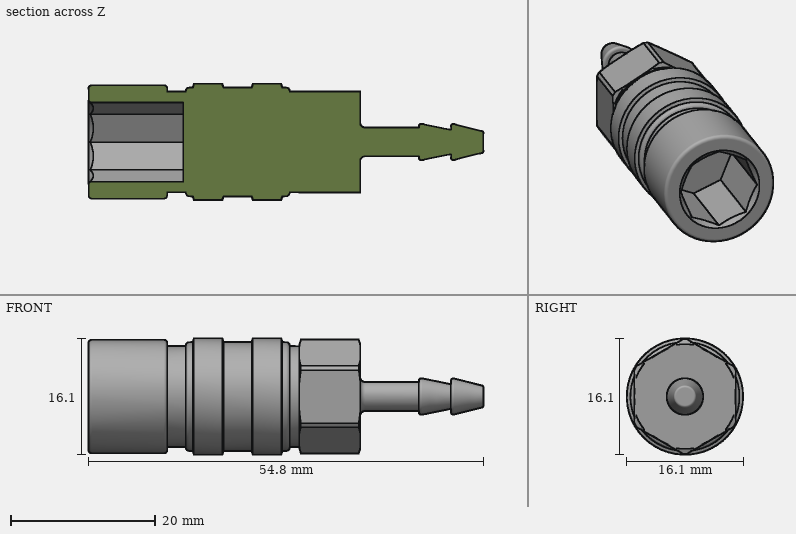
import cadquery as cq
import math

OVERALL_LENGTH = 54.8

SLEEVE_DIAMETER = 15.8
SLEEVE_END = 10.95
SLEEVE_FILLET = 0.5

NECK_DIAMETER = 14.0
BODY_DIAMETER = 15.1
BODY_START = 13.5
BODY_END = 27.95
BODY_FILLET = (BODY_DIAMETER - NECK_DIAMETER) / 2

RING_DIAMETER = 16.15
RING_WIDTH = 4.3
RING_STARTS = (14.45, 22.65)
RING_SHOULDER = 0.15

HEX_ACROSS_FLATS = NECK_DIAMETER
HEX_CORNER_DIAMETER = 15.85
HEX_START = 29.25
HEX_END = 37.7
HEX_BEVEL_LENGTH = 0.2
HEX_BEVEL_DEPTH = 0.65

STEM_DIAMETER = 4.05
STEM_ROOT_FILLET = 0.65
BARB_DIAMETER = 5.25
BARB_STARTS = (45.8, 50.25)
BARB_CREST_FILLET = 0.4
BARB_END_DIAMETERS = (3.45, 2.95)
TIP_FILLET = 0.35

MOUTH_DIAMETER = 11.5
SOCKET_CORNER_DIAMETER = 10.95
SOCKET_SIDES = 8
SOCKET_DEPTH = 13.15


def cylinder(start, end, diameter):
    """Cylinder on the X axis between two axial positions."""
    return cq.Workplane("YZ", origin=(start, 0, 0)).circle(diameter / 2).extrude(end - start)


def cone(start, end, start_diameter, end_diameter):
    """Truncated cone on the X axis between two axial positions."""
    base = cq.Vector(start, 0, 0)
    axis = cq.Vector(1, 0, 0)
    solid = cq.Solid.makeCone(start_diameter / 2, end_diameter / 2, end - start, base, axis)
    return cq.Workplane(solid)


def double_beveled_cylinder(start, end, diameter, end_diameter, bevel_length):
    """Cylinder on the X axis whose two ends taper down to a smaller diameter."""
    full_start = start + bevel_length
    full_end = end - bevel_length
    return (
        cylinder(full_start, full_end, diameter)
        .union(cone(start, full_start, end_diameter, diameter))
        .union(cone(full_end, end, diameter, end_diameter))
    )


def sleeve():
    return cylinder(0, SLEEVE_END, SLEEVE_DIAMETER).edges().fillet(SLEEVE_FILLET)


def body():
    """Body with rounded ends, carrying two raised rings with steep conical shoulders."""
    solid = cylinder(BODY_START, BODY_END, BODY_DIAMETER).edges().fillet(BODY_FILLET)
    for start in RING_STARTS:
        ring = double_beveled_cylinder(
            start, start + RING_WIDTH, RING_DIAMETER, BODY_DIAMETER, RING_SHOULDER
        )
        solid = solid.union(ring)
    return solid


def hexagon():
    """Hexagon with corners up and down, its corners turned round and beveled at both ends."""
    sharp_diameter = HEX_ACROSS_FLATS / math.cos(math.pi / 6)
    prism = (
        cq.Workplane("YZ", origin=(HEX_START, 0, 0))
        .transformed(rotate=(0, 0, 90))
        .polygon(6, sharp_diameter)
        .extrude(HEX_END - HEX_START)
    )
    end_diameter = HEX_CORNER_DIAMETER - 2 * HEX_BEVEL_DEPTH
    envelope = double_beveled_cylinder(
        HEX_START, HEX_END, HEX_CORNER_DIAMETER, end_diameter, HEX_BEVEL_LENGTH
    )
    return prism.intersect(envelope)


def stem():
    """Hose stem with a flared root and two barbs tapering towards the tip."""
    root_radius = STEM_DIAMETER / 2 + STEM_ROOT_FILLET
    arc_offset = STEM_ROOT_FILLET * (1 - math.sqrt(0.5))
    solid = (
        cq.Workplane("XY")
        .moveTo(HEX_END, 0)
        .lineTo(HEX_END, root_radius)
        .threePointArc(
            (HEX_END + arc_offset, STEM_DIAMETER / 2 + arc_offset),
            (HEX_END + STEM_ROOT_FILLET, STEM_DIAMETER / 2),
        )
        .lineTo(BARB_STARTS[0], STEM_DIAMETER / 2)
        .lineTo(BARB_STARTS[0], 0)
        .close()
        .revolve(360, (0, 0, 0), (1, 0, 0))
    )
    barb_ends = (BARB_STARTS[1], OVERALL_LENGTH)
    for start, end, end_diameter in zip(BARB_STARTS, barb_ends, BARB_END_DIAMETERS):
        barb = cone(start, end, BARB_DIAMETER, end_diameter)
        barb = barb.faces("<X").edges().fillet(BARB_CREST_FILLET)
        if end == OVERALL_LENGTH:
            barb = barb.faces(">X").edges().fillet(TIP_FILLET)
        solid = solid.union(barb)
    return solid


def socket():
    """Octagonal hole with a 45 degree conical mouth reaching down to its flats."""
    flats_diameter = SOCKET_CORNER_DIAMETER * math.cos(math.pi / SOCKET_SIDES)
    mouth_depth = (MOUTH_DIAMETER - flats_diameter) / 2
    hole = cq.Workplane("YZ").polygon(SOCKET_SIDES, SOCKET_CORNER_DIAMETER).extrude(SOCKET_DEPTH)
    return hole.union(cone(0, mouth_depth, MOUTH_DIAMETER, flats_diameter))


neck = cylinder(SLEEVE_END, HEX_START, NECK_DIAMETER)
outside = sleeve().union(neck).union(body()).union(hexagon()).union(stem())
result = outside.cut(socket())